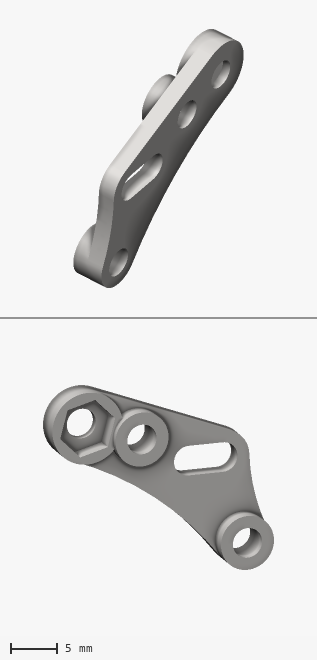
import cadquery as cq
import math

PLATE_THICKNESS = 2.0
NUT_BOSS_HEIGHT = 3.0
BOSS_HEIGHT = 3.8
NUT_POCKET_DEPTH = 2.0

NUT_BOSS_RADIUS = 4.0
BOSS_RADIUS = 3.0
CORNER_RADIUS = 3.0
HOLE_DIAMETER = 3.3
NUT_CIRCUMDIAMETER = 6.45
HEXAGON_SIDES = 6

LOWER_EDGE_RADIUS = 37.0
END_EDGE_RADIUS = 21.85

NUT_CENTER = (0.0, 0.0)
PIVOT_CENTER = (17.84, -14.33)
MIDDLE_BOSS_DISTANCE = 6.09
MIDDLE_BOSS_ANGLE = -15.0
MIDDLE_CENTER = (
    MIDDLE_BOSS_DISTANCE * math.cos(math.radians(MIDDLE_BOSS_ANGLE)),
    MIDDLE_BOSS_DISTANCE * math.sin(math.radians(MIDDLE_BOSS_ANGLE)),
)
SLOT_SPACING = 3.88
CORNER_CENTER = (15.67, -5.05)
SLOT_CENTER = (CORNER_CENTER[0] - SLOT_SPACING / 2, CORNER_CENTER[1])

SIDE_PLANE = cq.Plane(origin=(0, 0, 0), xDir=(0, -1, 0), normal=(-1, 0, 0))


def side():
    return cq.Workplane(SIDE_PLANE)


def direction(start, end):
    """Angle of the line from start to end, in radians."""
    return math.atan2(end[1] - start[1], end[0] - start[0])


def on_circle(center, radius, angle):
    return (center[0] + radius * math.cos(angle), center[1] + radius * math.sin(angle))


def concave_arc(start, start_radius, end, end_radius, radius):
    """Start, middle and end of an arc externally tangent to two circles.

    The centre of the arc lies to the right when going from start to end.
    """
    to_start = radius + start_radius
    to_end = radius + end_radius
    span = math.dist(start, end)
    turn = math.acos((to_start**2 + span**2 - to_end**2) / (2 * to_start * span))
    center = on_circle(start, to_start, direction(start, end) - turn)
    first = on_circle(center, radius, direction(center, start))
    last = on_circle(center, radius, direction(center, end))
    chord_middle = ((first[0] + last[0]) / 2, (first[1] + last[1]) / 2)
    middle = on_circle(center, radius, direction(center, chord_middle))
    return first, middle, last


def make_plate():
    upper_normal = direction(NUT_CENTER, CORNER_CENTER) + math.acos(
        (NUT_BOSS_RADIUS - CORNER_RADIUS) / math.dist(NUT_CENTER, CORNER_CENTER)
    )
    upper_start = on_circle(NUT_CENTER, NUT_BOSS_RADIUS, upper_normal)
    upper_end = on_circle(CORNER_CENTER, CORNER_RADIUS, upper_normal)

    end_bottom, end_middle, end_top = concave_arc(
        PIVOT_CENTER, BOSS_RADIUS, CORNER_CENTER, CORNER_RADIUS, END_EDGE_RADIUS
    )
    lower_start, lower_middle, lower_end = concave_arc(
        NUT_CENTER, NUT_BOSS_RADIUS, PIVOT_CENTER, BOSS_RADIUS, LOWER_EDGE_RADIUS
    )

    corner_angle = (upper_normal + direction(CORNER_CENTER, end_top)) / 2
    corner_middle = on_circle(CORNER_CENTER, CORNER_RADIUS, corner_angle)

    return (
        side()
        .moveTo(*upper_start)
        .lineTo(*upper_end)
        .threePointArc(corner_middle, end_top)
        .threePointArc(end_middle, end_bottom)
        .lineTo(*PIVOT_CENTER)
        .lineTo(*lower_end)
        .threePointArc(lower_middle, lower_start)
        .lineTo(*NUT_CENTER)
        .close()
        .extrude(PLATE_THICKNESS)
    )


def make_boss(center, radius, height):
    return side().center(*center).circle(radius).extrude(height)


def make_nut_pocket():
    half_side_angle = 180 / HEXAGON_SIDES
    return (
        side()
        .workplane(offset=NUT_BOSS_HEIGHT - NUT_POCKET_DEPTH)
        .transformed(rotate=(0, 0, MIDDLE_BOSS_ANGLE + half_side_angle))
        .polygon(HEXAGON_SIDES, NUT_CIRCUMDIAMETER)
        .extrude(NUT_POCKET_DEPTH)
    )


def make_holes():
    return (
        side()
        .pushPoints([NUT_CENTER, MIDDLE_CENTER, PIVOT_CENTER])
        .circle(HOLE_DIAMETER / 2)
        .extrude(BOSS_HEIGHT)
    )


def make_slot():
    slot_length = SLOT_SPACING + HOLE_DIAMETER
    return side().center(*SLOT_CENTER).slot2D(slot_length, HOLE_DIAMETER).extrude(PLATE_THICKNESS)


result = (
    make_plate()
    .union(make_boss(NUT_CENTER, NUT_BOSS_RADIUS, NUT_BOSS_HEIGHT))
    .union(make_boss(MIDDLE_CENTER, BOSS_RADIUS, BOSS_HEIGHT))
    .union(make_boss(PIVOT_CENTER, BOSS_RADIUS, BOSS_HEIGHT))
    .cut(make_nut_pocket())
    .cut(make_holes())
    .cut(make_slot())
)